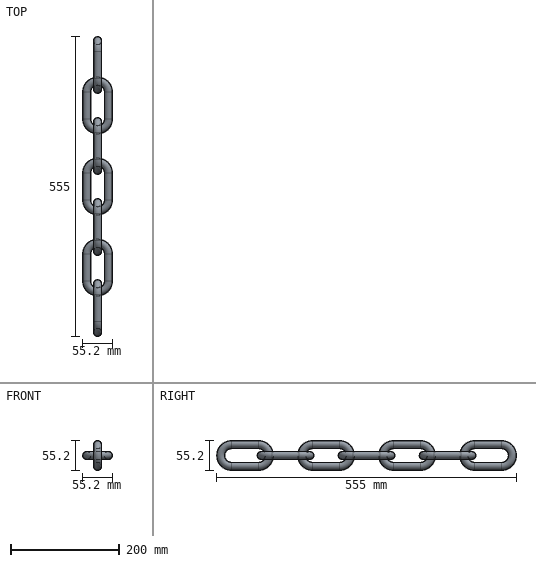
import cadquery as cq

wire_diameter = 15.0
link_length = 105.0
link_width = 55.2
link_count = 7

wire_radius = wire_diameter / 2
bend_radius = (link_width - wire_diameter) / 2
straight_length = link_length - link_width
half_straight = straight_length / 2
pitch = link_length - 2 * wire_diameter
first_center = -pitch * (link_count - 1) / 2


def chain_link():
    """Closed oval link lying in the XY plane, long along Y and centred on the origin."""
    center_line = (
        cq.Workplane("XY")
        .moveTo(bend_radius, -half_straight)
        .lineTo(bend_radius, half_straight)
        .threePointArc((0, half_straight + bend_radius), (-bend_radius, half_straight))
        .lineTo(-bend_radius, -half_straight)
        .threePointArc((0, -half_straight - bend_radius), (bend_radius, -half_straight))
        .close()
    )
    wire_section = cq.Workplane("XZ", origin=(bend_radius, -half_straight, 0)).circle(wire_radius)
    return wire_section.sweep(center_line)


links = []
for index in range(link_count):
    roll_angle = 90 if index % 2 == 0 else 0
    link = chain_link().rotate((0, 0, 0), (0, 1, 0), roll_angle)
    link = link.translate((0, first_center + index * pitch, 0))
    links.append(link.val())

result = cq.Compound.makeCompound(links)